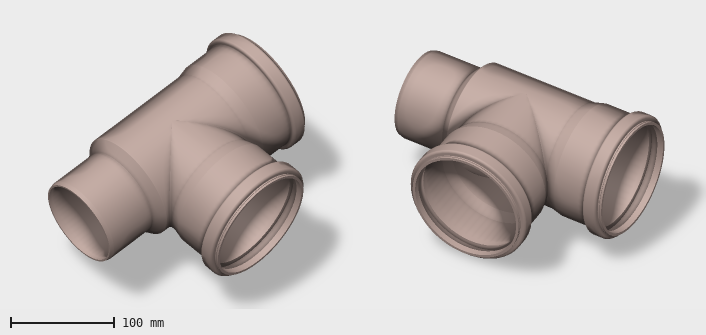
import cadquery as cq
import math


overall_x = 186.39
overall_y = 242.1

body_outer_radius = 110 / 2
body_inner_radius = 104 / 2
spigot_outer_radius = 90.6 / 2
spigot_inner_radius = 84.6 / 2
socket_outer_radius = 116.3 / 2
socket_inner_radius = 110.9 / 2
lip_outer_radius = 116.7 / 2
lip_inner_radius = 111.3 / 2
bead_outer_radius = 127.2 / 2
bead_inner_radius = 121.8 / 2
socket_wall = bead_outer_radius - bead_inner_radius

spigot_end_distance = 121.8
spigot_taper_length = 4.4
spigot_end_radius = 44.1
reducer_start = 54.6
reducer_end = 64.5
reducer_rounding = 1.0

lip_depth = 3.8
lip_groove_start = 1.8
lip_groove_end = 2.5
lip_groove_depth = 0.7
bead_end = 18.5
bead_fillet = 2.5
neck_fillet = 1.1
socket_cone_start = 53.6
socket_cone_end = 65.8

crease_bevel = 1.5

branch_lean = 2.5
run_mouth_distance = overall_y - spigot_end_distance
branch_reach_x = overall_x - bead_outer_radius
lean_angle = math.radians(branch_lean)
branch_mouth_distance = (
    branch_reach_x - lip_outer_radius * math.sin(lean_angle)
) / math.cos(lean_angle)


def revolve_about_y(profile):
    """Close a (radius, distance) half profile and turn it about the Y axis."""
    return profile.close().revolve(360, (0, 0, 0), (0, 1, 0))


def arc_middle(center_radius, center_distance, fillet, side_radius, side_distance):
    """Middle point of a quarter fillet; the sides are +1 or -1."""
    reach = fillet * math.sqrt(0.5)
    return (center_radius + side_radius * reach, center_distance + side_distance * reach)


def socket_outside(mouth):
    """Outer solid from the origin to a socket mouth on the +Y axis."""
    bead_back = mouth - bead_end
    bead_front = mouth - lip_depth
    groove_radius = lip_outer_radius - lip_groove_depth
    fillet_radius_center = bead_outer_radius - bead_fillet
    back_center = bead_back + bead_fillet
    front_center = bead_front - bead_fillet
    neck_middle = arc_middle(
        socket_outer_radius + neck_fillet, bead_back - neck_fillet, neck_fillet, -1, 1
    )
    profile = (
        cq.Workplane("XY")
        .moveTo(0, 0)
        .lineTo(body_outer_radius, 0)
        .lineTo(body_outer_radius, mouth - socket_cone_end)
        .lineTo(socket_outer_radius, mouth - socket_cone_start)
        .lineTo(socket_outer_radius, bead_back - neck_fillet)
        .threePointArc(neck_middle, (socket_outer_radius + neck_fillet, bead_back))
        .lineTo(fillet_radius_center, bead_back)
        .threePointArc(
            arc_middle(fillet_radius_center, back_center, bead_fillet, 1, -1),
            (bead_outer_radius, back_center),
        )
        .lineTo(bead_outer_radius, front_center)
        .threePointArc(
            arc_middle(fillet_radius_center, front_center, bead_fillet, 1, 1),
            (fillet_radius_center, bead_front),
        )
        .lineTo(lip_outer_radius, bead_front)
        .lineTo(lip_outer_radius, mouth - lip_groove_end)
        .lineTo(groove_radius, mouth - lip_groove_end)
        .lineTo(groove_radius, mouth - lip_groove_start)
        .lineTo(lip_outer_radius, mouth - lip_groove_start)
        .lineTo(lip_outer_radius, mouth)
        .lineTo(0, mouth)
    )
    return revolve_about_y(profile)


def socket_inside(mouth):
    """Inner void from the origin to a socket mouth, with the seal-ring groove."""
    groove_back = mouth - bead_end + socket_wall
    groove_front = mouth - lip_depth - socket_wall
    profile = (
        cq.Workplane("XY")
        .moveTo(0, 0)
        .lineTo(body_inner_radius, 0)
        .lineTo(body_inner_radius, mouth - socket_cone_end)
        .lineTo(socket_inner_radius, mouth - socket_cone_start)
        .lineTo(socket_inner_radius, groove_back)
        .lineTo(bead_inner_radius, groove_back)
        .lineTo(bead_inner_radius, groove_front)
        .lineTo(lip_inner_radius, groove_front)
        .lineTo(lip_inner_radius, mouth)
        .lineTo(0, mouth)
    )
    return revolve_about_y(profile)


def spigot_outside():
    """Outer solid from the spigot end to the origin."""
    end = -spigot_end_distance
    profile = (
        cq.Workplane("XY")
        .moveTo(0, end)
        .lineTo(spigot_end_radius, end)
        .lineTo(spigot_outer_radius, end + spigot_taper_length)
        .lineTo(spigot_outer_radius, end + reducer_start)
        .lineTo(body_outer_radius, end + reducer_end)
        .lineTo(body_outer_radius, 0)
        .lineTo(0, 0)
    )
    box_margin = 1
    reducer_circles = cq.selectors.BoxSelector(
        (-box_margin, end + reducer_start - box_margin, -box_margin),
        (box_margin, end + reducer_end + box_margin, box_margin),
    )
    return revolve_about_y(profile).edges("%CIRCLE").edges(reducer_circles).fillet(reducer_rounding)


def spigot_inside():
    """Inner void from the spigot end to the origin."""
    end = -spigot_end_distance
    profile = (
        cq.Workplane("XY")
        .moveTo(0, end)
        .lineTo(spigot_inner_radius, end)
        .lineTo(spigot_inner_radius, end + reducer_start)
        .lineTo(body_inner_radius, end + reducer_end)
        .lineTo(body_inner_radius, 0)
        .lineTo(0, 0)
    )
    return revolve_about_y(profile)


def place_on_branch(solid):
    """Turn a solid from the +Y axis onto the branch axis."""
    return solid.rotate((0, 0, 0), (0, 0, 1), branch_lean - 90)


def crease_filler(run_direction):
    """Bevelled filler in the corner between the branch and one end of the run (+90 or -90 degrees).

    Both pipes have the same radius, so their crease is planar. A bevel that fades out at the top
    and bottom is an elliptical prism across the corner, trimmed to a thin wedge about the crease.
    """
    bisector = (run_direction + branch_lean) / 2
    half_angle = math.radians(abs(run_direction - branch_lean) / 2)
    bevel_half_width = crease_bevel * math.cos(half_angle)
    bevel_distance = body_outer_radius / math.sin(half_angle) + bevel_half_width / math.tan(half_angle)
    prism = (
        cq.Workplane("XZ")
        .ellipse(bevel_distance, body_outer_radius)
        .extrude(bevel_half_width, both=True)
    )
    wedge = (
        cq.Workplane("XY")
        .polyline(
            [
                (0, 0),
                (bevel_distance, -bevel_half_width),
                (bevel_distance, bevel_half_width),
            ]
        )
        .close()
        .extrude(body_outer_radius, both=True)
    )
    return prism.intersect(wedge).rotate((0, 0, 0), (0, 0, 1), bisector)


outside = (
    spigot_outside()
    .union(socket_outside(run_mouth_distance))
    .union(place_on_branch(socket_outside(branch_mouth_distance)))
    .union(crease_filler(90))
    .union(crease_filler(-90))
)
inside = (
    spigot_inside()
    .union(socket_inside(run_mouth_distance))
    .union(place_on_branch(socket_inside(branch_mouth_distance)))
)

result = outside.cut(inside)